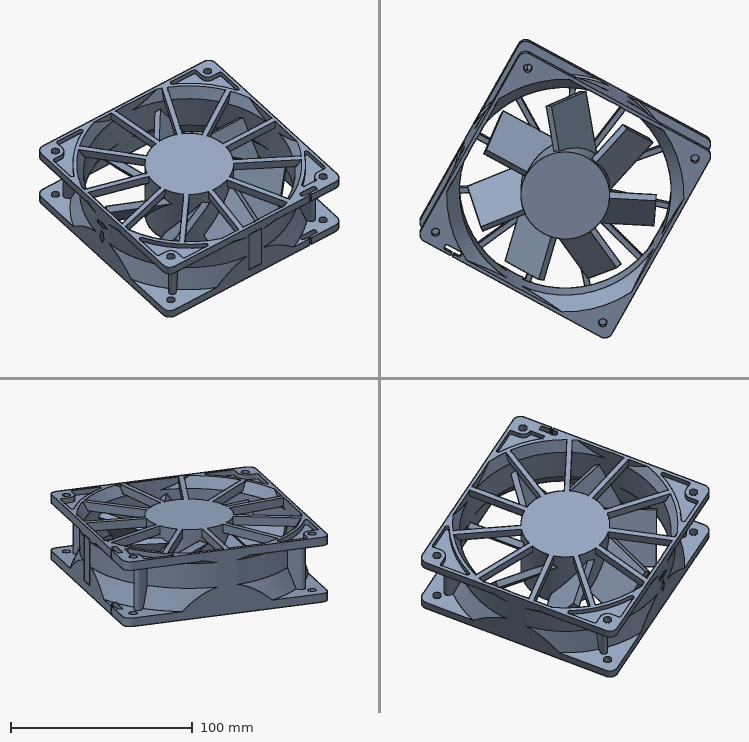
import cadquery as cq
import math

SIDE = 120.0
HEIGHT = 38.0
HALF = SIDE / 2
CORNER_RADIUS = 4.5
FLANGE = 5.0
RIM = 2.0
INNER_HALF = HALF - RIM

THROAT_RADIUS = 58.2
THROAT_BOTTOM = 11.7
THROAT_TOP = 31.8
THROAT_FLARE = 31.0
DUCT_WALL = 2.1
SHELL_RADIUS = THROAT_RADIUS + DUCT_WALL
SHELL_BOTTOM = 16.75
SHELL_TOP = 31.2
SHELL_LOWER_FLARE = 24.3
SHELL_UPPER_FLARE = THROAT_FLARE

HOLE_OFFSET = 52.5
HOLE_DIAMETER = 4.5
RIB_WIDTH = 4.2
RIB_END_OFFSET = 48.0
POCKET_DEPTH = 3.0
POCKET_ARC_RADIUS = 64.0
POCKET_BOSS_RADIUS = 4.6
POCKET_FILLET = 1.1
SHORT_POCKET_END = 39.3

SLOT_X = 57.0
SLOT_Y = 39.0
SLOT_WIDTH = 3.0
SLOT_LENGTH = 10.3
SLOT_FILLET = 1.0
SLOT_MOUTH_Y = 38.2
SLOT_MOUTH_WIDTH = 1.3

HUB_RADIUS = 24.4
SPOKE_COUNT = 11
SPOKE_WIDTH = 3.0
SPOKE_DEPTH = 5.0
SPOKE_LENGTH = 64.0
BLADE_COUNT = 7
BLADE_TIP = 50.0
BLADE_THICKNESS = 3.8
BLADE_TILT = 53.0
BLADE_CHORD = 32.0
BLADE_CENTRE_X = -8.95
BLADE_CENTRE_Z = 17.4
BLADE_ROOT = 10.0

RELIEF = 0.2
LABEL_WIDTH = 8.6
LABEL_HEIGHT = 26.8
ARROW_LENGTH = 8.2
ARROW_HEAD_LENGTH = 4.0
ARROW_HEAD_WIDTH = 4.2
ARROW_SHAFT_WIDTH = 2.1
FLOW_ARROW_Z = 17.0
SPIN_ARROW_Z = 26.2


def flared_tube(radius, bottom, top, lower_flare, upper_flare):
    """Solid of revolution, straight from bottom to top and widening to both ends."""
    lower_end_radius = radius + bottom * math.tan(math.radians(lower_flare))
    upper_end_radius = radius + (HEIGHT - top) * math.tan(math.radians(upper_flare))
    profile = (
        cq.Workplane("XZ")
        .lineTo(lower_end_radius, 0)
        .lineTo(radius, bottom)
        .lineTo(radius, top)
        .lineTo(upper_end_radius, HEIGHT)
        .lineTo(0, HEIGHT)
        .close()
    )
    return profile.revolve(360, (0, 0, 0), (0, 1, 0))


def rounded_plate(base_z, thickness):
    plate = cq.Workplane("XY").workplane(offset=base_z).rect(SIDE, SIDE).extrude(thickness)
    return plate.edges("|Z").fillet(CORNER_RADIUS)


def corner_ribs():
    """Two crossed diagonal bars with round ends that tie the flanges together."""
    length = 2 * math.hypot(RIB_END_OFFSET, RIB_END_OFFSET) + RIB_WIDTH
    rising = cq.Workplane("XY").slot2D(length, RIB_WIDTH, 45).extrude(HEIGHT)
    falling = cq.Workplane("XY").slot2D(length, RIB_WIDTH, -45).extrude(HEIGHT)
    return rising.union(falling)


def bore():
    """Straight round passage plus the end cones, which stop at the rim walls."""
    passage = cq.Workplane("XY").circle(THROAT_RADIUS).extrude(HEIGHT)
    cones = flared_tube(THROAT_RADIUS, THROAT_BOTTOM, THROAT_TOP, THROAT_FLARE, THROAT_FLARE)
    inner_block = cq.Workplane("XY").rect(2 * INNER_HALF, 2 * INNER_HALF).extrude(HEIGHT)
    return cones.intersect(inner_block).union(passage)


def corner_pocket():
    """Recess in the +X +Y corner, between the duct wall, the rim and the screw boss."""
    boss_edge = HOLE_OFFSET - POCKET_BOSS_RADIUS
    arc_end = math.sqrt(POCKET_ARC_RADIUS**2 - INNER_HALF**2)
    arc_middle = POCKET_ARC_RADIUS / math.sqrt(2)
    outline = (
        cq.Workplane("XY").workplane(offset=HEIGHT - POCKET_DEPTH)
        .moveTo(boss_edge, INNER_HALF)
        .lineTo(boss_edge, boss_edge)
        .lineTo(INNER_HALF, boss_edge)
        .lineTo(INNER_HALF, arc_end)
        .threePointArc((arc_middle, arc_middle), (arc_end, INNER_HALF))
        .close()
    )
    pocket = outline.extrude(POCKET_DEPTH)
    pocket = pocket.edges("|Z and (>X or >Y)").fillet(POCKET_FILLET)
    boss_corner = cq.NearestToPointSelector((boss_edge, boss_edge, HEIGHT - POCKET_DEPTH / 2))
    return pocket.edges("|Z").edges(boss_corner).fillet(POCKET_BOSS_RADIUS)


def corner_pockets():
    """One pocket per corner; the +X +Y one stops short of the wire slot."""
    full = corner_pocket()
    kept_area = (
        cq.Workplane("XY")
        .rect(HOLE_OFFSET, HALF - SHORT_POCKET_END, centered=False)
        .extrude(HEIGHT)
        .translate((0, SHORT_POCKET_END, 0))
    )
    pockets = full.intersect(kept_area)
    for angle in (90, 180, 270):
        pockets = pockets.union(full.rotate((0, 0, 0), (0, 0, 1), angle))
    return pockets


def screw_holes():
    spacing = 2 * HOLE_OFFSET
    holes = cq.Workplane("XY").rect(spacing, spacing, forConstruction=True).vertices()
    return holes.circle(HOLE_DIAMETER / 2).extrude(HEIGHT)


def wire_slot():
    """Slot through both flanges, with a narrow mouth to the +X side."""
    slot = (
        cq.Workplane("XY").center(SLOT_X, SLOT_Y).rect(SLOT_WIDTH, SLOT_LENGTH)
        .extrude(HEIGHT).edges("|Z").fillet(SLOT_FILLET)
    )
    mouth_length = HALF - SLOT_X
    mouth = (
        cq.Workplane("XY").center(SLOT_X + mouth_length / 2, SLOT_MOUTH_Y)
        .rect(mouth_length, SLOT_MOUTH_WIDTH).extrude(HEIGHT)
    )
    return slot.union(mouth)


def ring_of(shape, count):
    """Copies of a shape, evenly spaced around the fan axis."""
    ring = shape
    for index in range(1, count):
        ring = ring.union(shape.rotate((0, 0, 0), (0, 0, 1), index * 360 / count))
    return ring


def spokes():
    """Flat bars level with the top face, trimmed to the bore wall."""
    spoke = (
        cq.Workplane("XY").workplane(offset=HEIGHT - SPOKE_DEPTH)
        .center(0, SPOKE_LENGTH / 2).rect(SPOKE_WIDTH, SPOKE_LENGTH)
        .extrude(SPOKE_DEPTH)
    )
    return ring_of(spoke, SPOKE_COUNT).intersect(bore())


def blades():
    """Flat tilted plates standing out from the hub."""
    length = BLADE_TIP - BLADE_ROOT
    blade = (
        cq.Workplane("XY").box(BLADE_CHORD, length, BLADE_THICKNESS)
        .rotate((0, 0, 0), (0, 1, 0), BLADE_TILT)
        .translate((BLADE_CENTRE_X, BLADE_ROOT + length / 2, BLADE_CENTRE_Z))
    )
    return ring_of(blade, BLADE_COUNT)


def hub():
    return cq.Workplane("XY").circle(HUB_RADIUS).extrude(HEIGHT)


def arrow(angle, height):
    """Raised arrow on the -Y side; angle 0 points along +X, -90 points down."""
    tip = ARROW_LENGTH / 2
    neck = tip - ARROW_HEAD_LENGTH
    shaft = ARROW_SHAFT_WIDTH / 2
    head = ARROW_HEAD_WIDTH / 2
    outline = [(-tip, -shaft), (neck, -shaft), (neck, -head), (tip, 0),
               (neck, head), (neck, shaft), (-tip, shaft)]
    flat = cq.Workplane("XZ").polyline(outline).close().extrude(RELIEF)
    return flat.rotate((0, 0, 0), (0, 1, 0), -angle).translate((0, -HALF, height))


def arrows():
    return arrow(0, SPIN_ARROW_Z).union(arrow(-90, FLOW_ARROW_Z))


def label_panel():
    """Thin raised panel on the +X side."""
    panel = cq.Workplane("XY").box(RELIEF, LABEL_WIDTH, LABEL_HEIGHT)
    return panel.translate((HALF + RELIEF / 2, 0, HEIGHT / 2))


def frame():
    shell = flared_tube(SHELL_RADIUS, SHELL_BOTTOM, SHELL_TOP, SHELL_LOWER_FLARE, SHELL_UPPER_FLARE)
    body = (
        shell.intersect(rounded_plate(0, HEIGHT))
        .union(rounded_plate(0, FLANGE))
        .union(rounded_plate(HEIGHT - FLANGE, FLANGE))
        .union(corner_ribs())
    )
    return body.cut(bore()).cut(screw_holes()).cut(corner_pockets()).cut(wire_slot())


result = (
    frame()
    .union(spokes())
    .union(hub())
    .union(blades())
    .union(arrows())
    .union(label_panel())
)